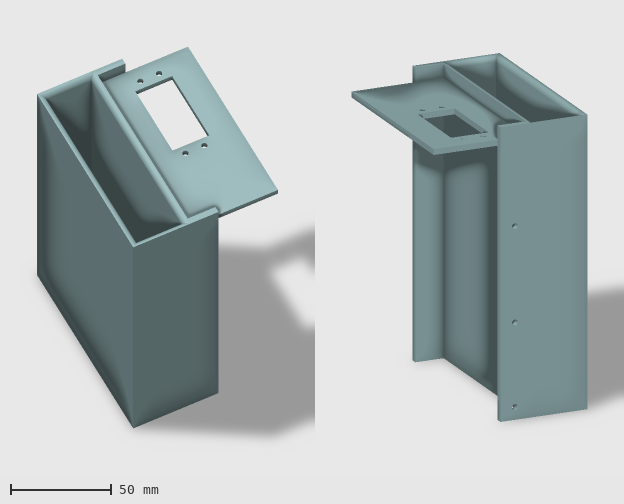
import cadquery as cq

width = 105.2
height = 154.5
side_depth = 47.6
side_wall = 3.1
end_wall = 3.4
floor_thickness = 3.1
rim_flat = 0.05
rim_radius = side_wall - rim_flat
back_wall_rear = 32.1

shelf_rear = 82.5
shelf_thickness = 3.1
shelf_top = height - 7.5
rear_side_wall = 3.4
shelf_width = width - 2 * rear_side_wall

window_length = 40.6
window_width = 20.5
window_x = -16.4
window_y = 57.0
hole_diameter = 3.1
shelf_hole_spacing_x = 49.5
shelf_hole_spacing_y = 10.5

side_hole_y = 39.7
side_hole_heights = (6.6, 51.0, 101.5)


def block(x_size, y_start, y_end, z_start, z_end):
    """Box centred on X, spanning the given Y and Z ranges."""
    return (
        cq.Workplane("XY")
        .box(x_size, y_end - y_start, z_end - z_start, centered=(True, False, False))
        .translate((0, y_start, z_start))
    )


def make_body():
    """Open-topped box with a rounded inner rim and side walls running past its back."""
    outer = block(width, 0, side_depth, 0, height)
    rear_channel = block(shelf_width, back_wall_rear, side_depth, 0, height)
    pocket_width = width - 2 * side_wall
    pocket = block(pocket_width, end_wall, back_wall_rear - end_wall, floor_thickness, height)
    body = outer.cut(rear_channel).cut(pocket)
    reach_x = width / 2 - side_wall / 2
    rim_zone = cq.selectors.BoxSelector(
        (-reach_x, end_wall / 2, height - side_wall / 2),
        (reach_x, back_wall_rear - end_wall / 2, height + side_wall / 2),
    )
    return body.edges(rim_zone).fillet(rim_radius)


def make_shelf():
    """Flat shelf with a window and four screw holes."""
    shelf = block(shelf_width, back_wall_rear, shelf_rear, shelf_top - shelf_thickness, shelf_top)
    top = shelf.faces(">Z").workplane(origin=(window_x, window_y, shelf_top))
    shelf = top.rect(window_length, window_width).cutThruAll()
    top = shelf.faces(">Z").workplane(origin=(window_x, window_y, shelf_top))
    return top.rarray(shelf_hole_spacing_x, shelf_hole_spacing_y, 2, 2).hole(hole_diameter)


def make_side_holes():
    """Cylinders that pierce only the left side wall."""
    return (
        cq.Workplane("YZ", origin=(-width / 2, 0, 0))
        .pushPoints([(side_hole_y, z) for z in side_hole_heights])
        .circle(hole_diameter / 2)
        .extrude(rear_side_wall)
    )


result = make_body().union(make_shelf()).cut(make_side_holes())